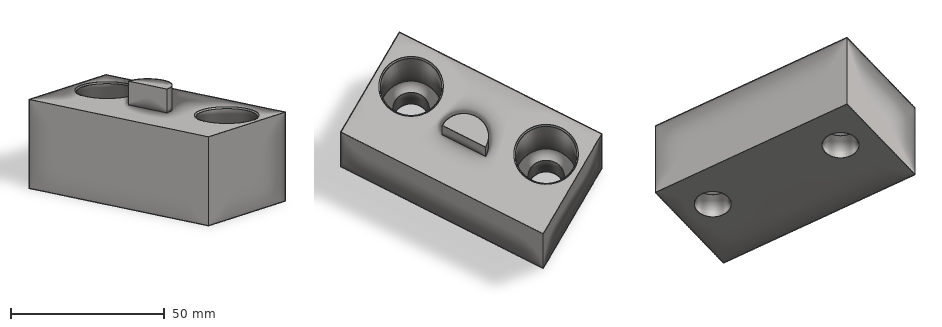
import cadquery as cq

length = 75
width = 40.0
height = 30

hole_spacing = 50.0
hole_y = 5.0
hole_diameter = 12
bore_diameter = 20.0
bore_depth = 20.0
bore_chamfer = 0.5

key_radius = 8.0
key_height = 8.0
key_flat_y = -hole_y


def make_block():
    return cq.Workplane("XY").box(length, width, height, centered=(True, True, False))


def make_hole_cutter(x):
    """Through hole, counterbore and entry chamfer as one revolved cutter."""
    hole_radius = hole_diameter / 2
    bore_radius = bore_diameter / 2
    bore_floor = height - bore_depth
    profile = (
        cq.Workplane("XZ")
        .moveTo(0, 0)
        .lineTo(hole_radius, 0)
        .lineTo(hole_radius, bore_floor)
        .lineTo(bore_radius, bore_floor)
        .lineTo(bore_radius, height - bore_chamfer)
        .lineTo(bore_radius + bore_chamfer, height)
        .lineTo(0, height)
        .close()
    )
    return profile.revolve(360, (0, 0), (0, 1)).translate((x, hole_y, 0))


def make_key():
    return (
        cq.Workplane("XY")
        .moveTo(-key_radius, key_flat_y)
        .threePointArc((0, key_flat_y + key_radius), (key_radius, key_flat_y))
        .close()
        .extrude(height + key_height)
    )


result = make_block().union(make_key())
for side in (-1, 1):
    result = result.cut(make_hole_cutter(side * hole_spacing / 2))